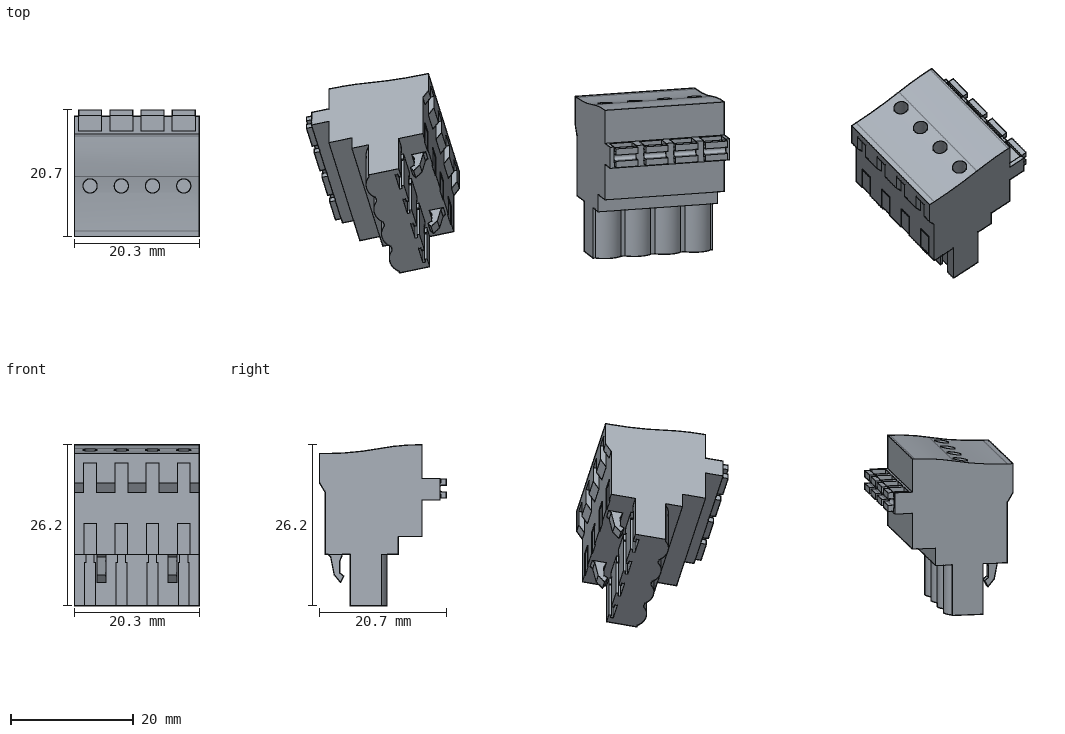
import cadquery as cq
import math


pole_count = 4
width = 20.3
pitch = width / pole_count
pole_x = [(i - (pole_count - 1) / 2) * pitch for i in range(pole_count)]

height = 26.25
front_y = 0.95
back_y = 16.71
step_y = 12.85
body_bottom = 8.4
step_z = 11.28
overhang_top = 24.8
overhang_low = 20.02
overhang_end = 18.42

crest_y = 16.37
inflection_y = 9.85
slope_end_y = front_y

shelf_back = 19.63
shelf_bottom = 17.21
shelf_top = 20.73
pocket_front = 17.2
pocket_floor = 18.13

plug_front = 4.99
plug_back = 10.08
rib_height = 0.95
rib_width = 4.33
lip_thickness = 0.45
cavity_width = 2.89
cavity_depth = 0.87
contact_slot_width = 1.78
contact_slot_neck = 1.3
contact_slot_top = 7.03

front_slot_width = 2.1
front_slot_top = 23.22
key_slot_width = 2.02
key_slot_top = 13.38
key_slot_depth = 0.13
screw_hole_diameter = 2.3
screw_hole_y = 8.27
screw_hole_floor = 19.68

hook_width = 1.47
hook_x = 5.77
hook_profile = [
    (3.75, body_bottom),
    (3.33, 7.3),
    (3.33, 5.35),
    (3.95, 4.85),
    (3.45, 3.8),
    (2.4, 5.06),
    (1.8, 7.98),
    (1.4, body_bottom),
]

clamp_width = 3.75
clamp_top = 20.02
head_front = 19.7
head_back = 20.65
head_bottom = 17.53
head_top = 20.65
head_slot = 1.05
head_slot_end = 19.45


def block(x_center, x_size, y_min, y_max, z_min, z_max):
    """Box given by its X centre and width and its Y and Z limits."""
    box = cq.Workplane("XY").box(x_size, y_max - y_min, z_max - z_min)
    return box.translate((x_center, (y_min + y_max) / 2, (z_min + z_max) / 2))


def body_block():
    """Side profile of the main block and its shelf, extruded over the full width."""
    drop = height - overhang_top
    half_turn = math.atan(drop / (crest_y - slope_end_y))
    inflection_z = height - (crest_y - inflection_y) * math.tan(half_turn)
    convex_radius = (crest_y - inflection_y) / math.sin(2 * half_turn)
    concave_radius = (inflection_y - slope_end_y) / math.sin(2 * half_turn)
    mid_y = math.sin(half_turn)
    mid_z = 1 - math.cos(half_turn)
    convex_mid = (crest_y - convex_radius * mid_y, height - convex_radius * mid_z)
    concave_mid = (slope_end_y + concave_radius * mid_y, overhang_top + concave_radius * mid_z)
    return (
        cq.Workplane("YZ", origin=(-width / 2, 0, 0))
        .moveTo(0, overhang_top)
        .lineTo(0, overhang_low)
        .lineTo(front_y, overhang_end)
        .lineTo(front_y, body_bottom)
        .lineTo(step_y, body_bottom)
        .lineTo(step_y, step_z)
        .lineTo(back_y, step_z)
        .lineTo(back_y, shelf_bottom)
        .lineTo(shelf_back, shelf_bottom)
        .lineTo(shelf_back, shelf_top)
        .lineTo(back_y, shelf_top)
        .lineTo(back_y, height)
        .lineTo(crest_y, height)
        .threePointArc(convex_mid, (inflection_y, inflection_z))
        .threePointArc(concave_mid, (slope_end_y, overhang_top))
        .close()
        .extrude(width)
    )


def plug_rib(x):
    """Shallow round rib down the back of the plug."""
    return (
        cq.Workplane("XY")
        .moveTo(x - rib_width / 2, plug_back)
        .threePointArc((x, plug_back + rib_height), (x + rib_width / 2, plug_back))
        .close()
        .extrude(body_bottom)
    )


def contact_slot(x):
    """Contact cavity in the plug and the stepped slot that opens it to the front."""
    lip_back = plug_front + lip_thickness
    cavity = block(x, cavity_width, lip_back, plug_front + cavity_depth, 0, body_bottom)
    slot = block(x, contact_slot_width, plug_front, lip_back, 0, contact_slot_top)
    neck = block(x, contact_slot_neck, plug_front, lip_back, contact_slot_top, body_bottom)
    return cavity.union(slot).union(neck)


def latch_hook(x):
    """Barbed hook under the front of the body."""
    plane = cq.Workplane("YZ", origin=(x - hook_width / 2, 0, 0))
    return plane.polyline(hook_profile).close().extrude(hook_width)


def screw_hole(x):
    """Blind hole in the sloping top."""
    plane = cq.Workplane("XY", origin=(x, screw_hole_y, screw_hole_floor))
    return plane.circle(screw_hole_diameter / 2).extrude(height - screw_hole_floor)


def make_housing():
    housing = body_block()
    housing = housing.union(block(0, width, plug_front, plug_back, 0, body_bottom))
    for x in (-hook_x, hook_x):
        housing = housing.union(latch_hook(x))
    for x in pole_x:
        housing = housing.union(plug_rib(x))
        housing = housing.cut(contact_slot(x))
        housing = housing.cut(screw_hole(x))
        housing = housing.cut(block(x, front_slot_width, 0, front_y, overhang_end, front_slot_top))
        key_slot_back = front_y + key_slot_depth
        housing = housing.cut(block(x, key_slot_width, front_y, key_slot_back, body_bottom, key_slot_top))
        housing = housing.cut(block(x, clamp_width, pocket_front, shelf_back, pocket_floor, shelf_top))
    return housing


def make_clamp(x):
    """Wire clamp: a flat shank lying in the shelf pocket and a taller, slotted head behind it."""
    shank = block(x, clamp_width, pocket_front, head_front, pocket_floor, clamp_top)
    head = block(x, clamp_width, head_front, head_back, head_bottom, head_top)
    slot_z = (head_bottom + head_top) / 2
    slot_radius = head_slot / 2
    slot_center_y = head_slot_end + slot_radius
    slot = block(x, clamp_width, slot_center_y, head_back, slot_z - slot_radius, slot_z + slot_radius)
    slot_end = (
        cq.Workplane("YZ", origin=(x - clamp_width / 2, slot_center_y, slot_z))
        .circle(slot_radius)
        .extrude(clamp_width)
    )
    return shank.union(head).cut(slot).cut(slot_end)


housing = make_housing()
clamps = [make_clamp(x) for x in pole_x]
result = cq.Compound.makeCompound([housing.val(), *[clamp.val() for clamp in clamps]])